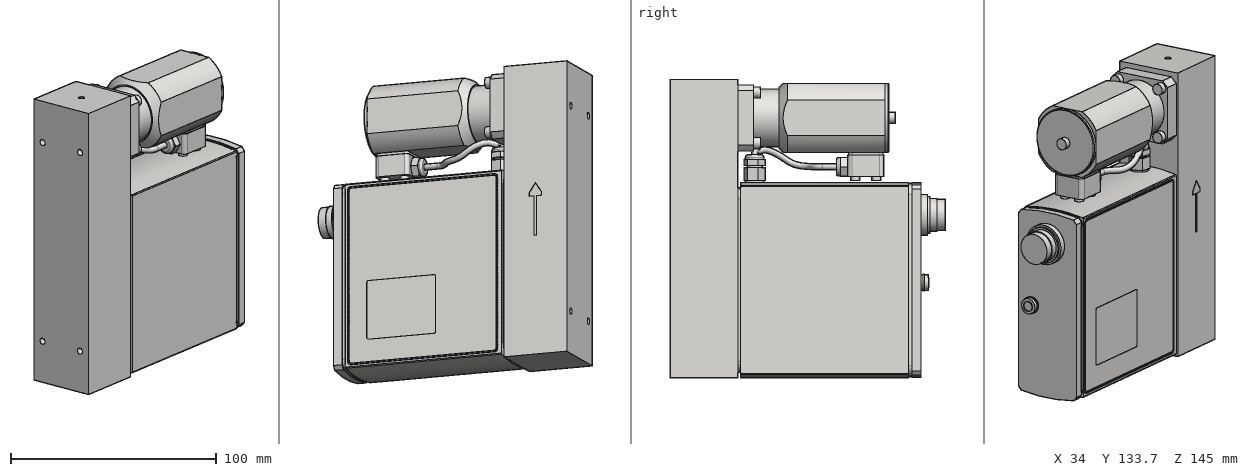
import cadquery as cq
import math


BLOCK_WIDTH = 34.0
BLOCK_DEPTH = 32.9
BLOCK_HEIGHT = 145.0
SCREW_HOLE_DIAMETER = 3.0
SCREW_HOLE_DEPTH = 7.2
DRILL_POINT_ANGLE = 118.0
SCREW_HOLE_SPACING_X = 23.2
SCREW_HOLE_SPACING_Z = 102.5
PORT_Y = 16.0
PORT_DIAMETER = 2.9
PORT_DEPTH = 0.6
MARK_DEPTH = 0.1

ARROW_TIP_Z = 85.5
ARROW_SHOULDER_Z = 80.8
ARROW_HEAD_BASE_Z = 79.0
ARROW_TAIL_Z = 59.5
ARROW_HEAD_WIDTH = 6.4
ARROW_SHAFT_WIDTH = 1.3

HOUSING_HEIGHT = 95.0
HOUSING_FRONT = 34.2
HOUSING_BACK = 115.9
HOUSING_CROWN = 1.6
HOUSING_CHAMFER = 0.5
FRONT_SPACER_INSET = 2.5
GASKET_INSET = 0.3
SPACER_RADIUS = 4.8
BACK_PLATE_FRONT = 117.5
BACK_PLATE_BACK = 122.0
BACK_PLATE_CHAMFER = 1.7

GROOVE_FRONT = 36.2
GROOVE_BACK = 114.5
GROOVE_BOTTOM = 3.0
GROOVE_TOP = 92.0
GROOVE_WIDTH = 0.7
GROOVE_DEPTH = 0.6
GROOVE_RADIUS = 1.7
LABEL_FRONT = 68.6
LABEL_BACK = 104.5
LABEL_BOTTOM = 15.0
LABEL_TOP = 44.2
LABEL_RADIUS = 0.9

CONNECTOR_Z = 79.2
CONNECTOR_STEPS = [(20.0, 3.2), (18.0, 1.0), (16.0, 3.5), (15.2, 4.0)]
KNOB_X = 8.8
KNOB_Z = 46.3
KNOB_STEPS = [(7.5, 1.0), (8.4, 0.6), (7.8, 1.9), (5.0, 0.5)]

GLAND_Y = 41.0
HEX_ACROSS_FLATS = 9.3
GLAND_TURN = 19.0
GLAND_SEAT_DEPTH = 0.7
GLAND_BASE_HEIGHT = 0.9
GLAND_LOWER_NUT_HEIGHT = 6.2
GLAND_NECK_HEIGHT = 1.0
GLAND_UPPER_NUT_HEIGHT = 2.9
GLAND_CAP_HEIGHT = 2.5
GLAND_NECK_DIAMETER = 7.5
GLAND_CAP_DIAMETER = 9.1
GLAND_CAP_FILLET = 1.5

VALVE_Z = 126.3
FLANGE_SIZE = 32.2
FLANGE_THICKNESS = 7.7
FLANGE_CHAMFER = 2.9
FLANGE_SCREW_DIAMETER = 5.5
FLANGE_SCREW_HEIGHT = 3.2
FLANGE_SCREW_SPACING = 24.6
NECK_DIAMETER = 28.1
COIL_FRONT = 52.8
COIL_BACK = 104.4
COIL_DIAMETER = 37.8
COIL_ACROSS_FLATS = 33.6
COIL_CHAMFER = 4.2
COIL_CAP_THICKNESS = 1.9
COIL_CAP_CHAMFER = 0.5
COIL_SCREW_DIAMETER = 5.5
COIL_SCREW_HEIGHT = 3.2

PLUG_FRONT = 86.3
PLUG_BACK = 103.8
PLUG_BOTTOM = 97.7
PLUG_WIDTH = 16.5
PLUG_FILLET = 2.0
PLUG_LID_HEIGHT = 1.3
PLUG_LID_INSET = 0.3
PLUG_SCREW_DIAMETER = 4.5
PLUG_SCREW_HEIGHT = 1.9
PLUG_SCREW_SPACING_X = 8.1
PLUG_SCREW_SPACING_Y = 10.2
PLUG_NUT_LENGTH = 3.6
PLUG_NUT_CAP_LENGTH = 1.9
PLUG_NUT_CAP_FILLET = 1.2

CABLE_DIAMETER = 3.0
CABLE_Z = 102.5
CABLE_BEND_START = 74.0
CABLE_BENDS = [
    (-5.0, 67.9, 102.7),
    (-7.8, 59.9, 104.0),
    (-8.0, 54.5, 107.2),
    (-6.7, 49.7, 109.8),
    (-3.8, 45.0, 110.6),
    (-1.5, 42.3, 110.2),
]
CABLE_SOCKET_DEPTH = 1.5

SIDE_X = -BLOCK_WIDTH / 2
BLOCK_MID_Y = BLOCK_DEPTH / 2
FLANGE_BACK = BLOCK_DEPTH + FLANGE_THICKNESS
COIL_UNDERSIDE = VALVE_Z - COIL_ACROSS_FLATS / 2
CABLE_START_Y = PLUG_FRONT - PLUG_NUT_LENGTH - PLUG_NUT_CAP_LENGTH
GLAND_HEIGHTS = [
    GLAND_BASE_HEIGHT,
    GLAND_LOWER_NUT_HEIGHT,
    GLAND_NECK_HEIGHT,
    GLAND_UPPER_NUT_HEIGHT,
    GLAND_CAP_HEIGHT,
]
GLAND_TOP = HOUSING_HEIGHT + sum(GLAND_HEIGHTS)
HEX_CIRCLE = HEX_ACROSS_FLATS / math.cos(math.pi / 6)


def box(x_range, y_range, z_range):
    """Box between two coordinates on each axis."""
    sizes = [high - low for low, high in (x_range, y_range, z_range)]
    return cq.Workplane("XY", origin=(x_range[0], y_range[0], z_range[0])).box(*sizes, centered=False)


def back_plane(x, y, z):
    """Workplane facing +Y, with its origin at the given point."""
    return cq.Workplane("XZ", origin=(x, y, z)).transformed(rotate=(0, 180, 0))


def rod(x, y, z, diameter, length):
    """Cylinder that starts at the given point and runs along +Y."""
    return back_plane(x, y, z).circle(diameter / 2).extrude(length)


def stepped_rod(x, y, z, steps):
    """Coaxial cylinders stacked along +Y."""
    body = None
    for diameter, length in steps:
        step = rod(x, y, z, diameter, length)
        body = step if body is None else body.union(step)
        y += length
    return body


def crowned_plate(y_front, y_back, inset):
    """Plate across the housing with arched top and bottom, inset from the housing outline."""
    half_width = BLOCK_WIDTH / 2 - inset
    top = HOUSING_HEIGHT - inset
    return (
        cq.Workplane("XZ", origin=(0, y_front, 0))
        .moveTo(half_width, inset + HOUSING_CROWN)
        .lineTo(half_width, top - HOUSING_CROWN)
        .threePointArc((0, top), (-half_width, top - HOUSING_CROWN))
        .lineTo(-half_width, inset + HOUSING_CROWN)
        .threePointArc((0, inset), (half_width, inset + HOUSING_CROWN))
        .close()
        .extrude(y_front - y_back)
    )


def side_panel(front, back, bottom, top, radius, depth):
    """Shallow rounded rectangle sunk into the -X side."""
    return box((SIDE_X, SIDE_X + depth), (front, back), (bottom, top)).edges("|X").fillet(radius)


def make_block():
    half_width = BLOCK_WIDTH / 2
    block = box((-half_width, half_width), (0, BLOCK_DEPTH), (0, BLOCK_HEIGHT))
    port = (
        cq.Workplane("XY", origin=(0, PORT_Y, BLOCK_HEIGHT))
        .circle(PORT_DIAMETER / 2)
        .extrude(-PORT_DEPTH)
    )
    block = block.cut(port).cut(make_arrow())
    for x_side in (-1, 1):
        for z_side in (-1, 1):
            x = x_side * SCREW_HOLE_SPACING_X / 2
            z = BLOCK_HEIGHT / 2 + z_side * SCREW_HOLE_SPACING_Z / 2
            block = block.cut(drilled_hole(x, z))
    return block


def drilled_hole(x, z):
    """Blind hole with a conical end, drilled into the front face of the block."""
    radius = SCREW_HOLE_DIAMETER / 2
    tip_length = radius / math.tan(math.radians(DRILL_POINT_ANGLE / 2))
    tip_start = cq.Vector(x, SCREW_HOLE_DEPTH, z)
    tip = cq.Solid.makeCone(radius, 0, tip_length, tip_start, cq.Vector(0, 1, 0))
    return rod(x, 0, z, SCREW_HOLE_DIAMETER, SCREW_HOLE_DEPTH).union(cq.Workplane(tip))


def make_arrow():
    half_head = ARROW_HEAD_WIDTH / 2
    half_shaft = ARROW_SHAFT_WIDTH / 2
    half_outline = [
        (half_head, ARROW_SHOULDER_Z),
        (half_head, ARROW_HEAD_BASE_Z),
        (half_shaft, ARROW_HEAD_BASE_Z),
        (half_shaft, ARROW_TAIL_Z),
    ]
    mirrored = [(-y, z) for y, z in reversed(half_outline)]
    return (
        cq.Workplane("YZ", origin=(SIDE_X, BLOCK_MID_Y, 0))
        .polyline([(0, ARROW_TIP_Z)] + half_outline + mirrored)
        .close()
        .extrude(MARK_DEPTH)
    )


def make_housing():
    shell = crowned_plate(HOUSING_FRONT, HOUSING_BACK, 0).edges("|Y").chamfer(HOUSING_CHAMFER)
    front_spacer = crowned_plate(BLOCK_DEPTH, HOUSING_FRONT, FRONT_SPACER_INSET)
    front_spacer = front_spacer.edges("|Y").fillet(SPACER_RADIUS)
    gasket = crowned_plate(HOUSING_BACK, BACK_PLATE_FRONT, GASKET_INSET)
    gasket = gasket.edges("|Y").fillet(SPACER_RADIUS)
    back_plate = crowned_plate(BACK_PLATE_FRONT, BACK_PLATE_BACK, 0).edges("|Y").chamfer(BACK_PLATE_CHAMFER)
    label = side_panel(LABEL_FRONT, LABEL_BACK, LABEL_BOTTOM, LABEL_TOP, LABEL_RADIUS, MARK_DEPTH)
    return shell.cut(make_groove()).cut(label).union(front_spacer).union(gasket).union(back_plate)


def make_groove():
    outer = side_panel(GROOVE_FRONT, GROOVE_BACK, GROOVE_BOTTOM, GROOVE_TOP, GROOVE_RADIUS, GROOVE_DEPTH)
    inner = side_panel(
        GROOVE_FRONT + GROOVE_WIDTH,
        GROOVE_BACK - GROOVE_WIDTH,
        GROOVE_BOTTOM + GROOVE_WIDTH,
        GROOVE_TOP - GROOVE_WIDTH,
        GROOVE_RADIUS - GROOVE_WIDTH,
        GROOVE_DEPTH,
    )
    return outer.cut(inner)


def make_gland():
    stack = (
        cq.Workplane("XY", origin=(0, GLAND_Y, HOUSING_HEIGHT - GLAND_SEAT_DEPTH))
        .circle(GLAND_CAP_DIAMETER / 2)
        .extrude(GLAND_SEAT_DEPTH + GLAND_BASE_HEIGHT)
        .faces(">Z")
        .workplane()
        .transformed(rotate=(0, 0, GLAND_TURN))
        .polygon(6, HEX_CIRCLE)
        .extrude(GLAND_LOWER_NUT_HEIGHT)
        .faces(">Z")
        .workplane()
        .circle(GLAND_NECK_DIAMETER / 2)
        .extrude(GLAND_NECK_HEIGHT)
        .faces(">Z")
        .workplane()
        .transformed(rotate=(0, 0, GLAND_TURN))
        .polygon(6, HEX_CIRCLE)
        .extrude(GLAND_UPPER_NUT_HEIGHT)
        .faces(">Z")
        .workplane()
        .circle(GLAND_CAP_DIAMETER / 2)
        .extrude(GLAND_CAP_HEIGHT)
        .faces(">Z")
        .edges()
        .fillet(GLAND_CAP_FILLET)
    )
    socket = (
        cq.Workplane("XY", origin=(0, GLAND_Y, GLAND_TOP))
        .circle(CABLE_DIAMETER / 2)
        .extrude(-CABLE_SOCKET_DEPTH)
    )
    return stack.cut(socket)


def make_meter():
    connector = stepped_rod(0, BACK_PLATE_BACK, CONNECTOR_Z, CONNECTOR_STEPS)
    knob = stepped_rod(KNOB_X, BACK_PLATE_BACK, KNOB_Z, KNOB_STEPS)
    return make_block().union(make_housing()).union(connector).union(knob).union(make_gland())


def make_flange():
    half = FLANGE_SIZE / 2
    flange = box((-half, half), (BLOCK_DEPTH, FLANGE_BACK), (VALVE_Z - half, VALVE_Z + half))
    screws = (
        back_plane(0, FLANGE_BACK, VALVE_Z)
        .rarray(FLANGE_SCREW_SPACING, FLANGE_SCREW_SPACING, 2, 2)
        .circle(FLANGE_SCREW_DIAMETER / 2)
        .extrude(FLANGE_SCREW_HEIGHT)
    )
    return flange.edges("|Y").chamfer(FLANGE_CHAMFER).union(screws)


def make_coil():
    cap_back = COIL_BACK + COIL_CAP_THICKNESS
    half_flats = COIL_ACROSS_FLATS / 2
    flats = box(
        (-half_flats, half_flats),
        (COIL_FRONT, COIL_BACK),
        (VALVE_Z - half_flats, VALVE_Z + half_flats),
    )
    barrel = (
        rod(0, COIL_FRONT, VALVE_Z, COIL_DIAMETER, COIL_BACK - COIL_FRONT)
        .faces("<Y")
        .chamfer(COIL_CHAMFER)
        .intersect(flats)
    )
    cap = (
        rod(0, COIL_BACK, VALVE_Z, COIL_ACROSS_FLATS, COIL_CAP_THICKNESS)
        .faces(">Y")
        .chamfer(COIL_CAP_CHAMFER)
    )
    neck = rod(0, FLANGE_BACK, VALVE_Z, NECK_DIAMETER, COIL_FRONT - FLANGE_BACK)
    screw = rod(0, cap_back, VALVE_Z, COIL_SCREW_DIAMETER, COIL_SCREW_HEIGHT)
    return barrel.union(cap).union(neck).union(screw)


def make_plug():
    half = PLUG_WIDTH / 2
    mid_y = (PLUG_FRONT + PLUG_BACK) / 2
    lid_bottom = COIL_UNDERSIDE - PLUG_LID_HEIGHT
    inset_half = half - PLUG_LID_INSET
    case = box((-half, half), (PLUG_FRONT, PLUG_BACK), (PLUG_BOTTOM, lid_bottom))
    lid = box(
        (-inset_half, inset_half),
        (PLUG_FRONT + PLUG_LID_INSET, PLUG_BACK - PLUG_LID_INSET),
        (lid_bottom, COIL_UNDERSIDE),
    )
    screws = (
        cq.Workplane("XY", origin=(0, mid_y, PLUG_BOTTOM))
        .rarray(PLUG_SCREW_SPACING_X, PLUG_SCREW_SPACING_Y, 2, 2)
        .circle(PLUG_SCREW_DIAMETER / 2)
        .extrude(-PLUG_SCREW_HEIGHT)
    )
    nut = cq.Workplane("XZ", origin=(0, PLUG_FRONT, CABLE_Z)).polygon(6, HEX_CIRCLE).extrude(PLUG_NUT_LENGTH)
    nut_cap = (
        rod(0, CABLE_START_Y, CABLE_Z, GLAND_CAP_DIAMETER, PLUG_NUT_CAP_LENGTH)
        .faces("<Y")
        .edges()
        .fillet(PLUG_NUT_CAP_FILLET)
    )
    case = case.edges("|Z").fillet(PLUG_FILLET)
    lid = lid.edges("|Z").fillet(PLUG_FILLET)
    return case.union(lid).union(screws).union(nut).union(nut_cap)


def make_cable():
    start = cq.Vector(0, CABLE_START_Y, CABLE_Z)
    bend_start = cq.Vector(0, CABLE_BEND_START, CABLE_Z)
    bend_end = cq.Vector(0, GLAND_Y, GLAND_TOP)
    end = cq.Vector(0, GLAND_Y, GLAND_TOP - CABLE_SOCKET_DEPTH)
    bends = [cq.Vector(*point) for point in CABLE_BENDS]
    path = cq.Wire.assembleEdges(
        [
            cq.Edge.makeLine(start, bend_start),
            cq.Edge.makeSpline(
                [bend_start] + bends + [bend_end],
                tangents=[cq.Vector(0, -1, 0), cq.Vector(0, 0, -1)],
            ),
            cq.Edge.makeLine(bend_end, end),
        ]
    )
    return back_plane(0, CABLE_START_Y, CABLE_Z).circle(CABLE_DIAMETER / 2).sweep(path)


def make_valve():
    return make_flange().union(make_coil()).union(make_plug()).union(make_cable())


meter = make_meter()
valve = make_valve()
result = cq.Compound.makeCompound([meter.solids().val(), valve.solids().val()])